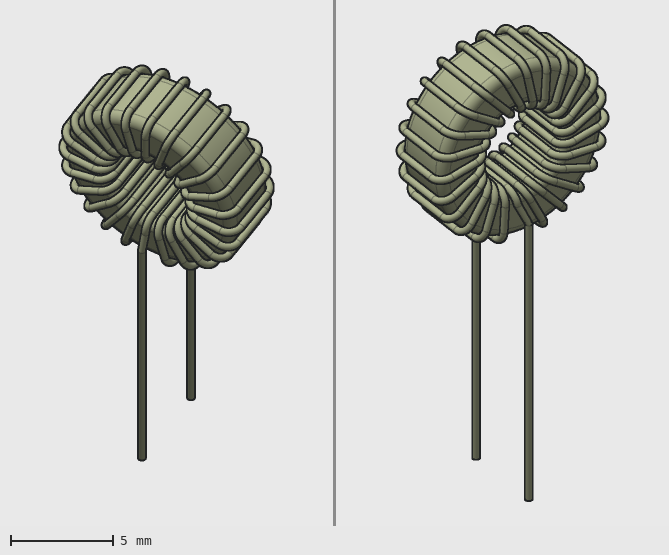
import cadquery as cq
import math

core_outer_radius = 9.73 / 2
core_inner_radius = 5.01 / 2
core_width = 3.45
core_edge_radius = 0.5

wire_diameter = 0.4
wire_gap = 0.01
turn_count = 24
turn_angle = 360 / turn_count
first_turn_angle = -90
centreline_offset = wire_gap + wire_diameter / 2
wire_outer_radius = core_outer_radius + centreline_offset
wire_inner_radius = core_inner_radius - centreline_offset
wire_side = core_width / 2 + centreline_offset
bend_radius = core_edge_radius + centreline_offset

overall_height = 25.38
lead_spacing = 4.5
lead_top = -4.03
lead_bottom = wire_outer_radius + wire_diameter / 2 - overall_height


def ring_point(radius, angle, y):
    """Point at a radius and an angle (degrees from +X toward +Z) around the Y axis."""
    return cq.Vector(
        radius * math.cos(math.radians(angle)), y, radius * math.sin(math.radians(angle))
    )


def bend(corner, direction_in, direction_out):
    """Quarter-circle bend that rounds a square corner of the wire centreline."""
    start = corner - direction_in * bend_radius
    end = corner + direction_out * bend_radius
    centre = start + direction_out * bend_radius
    middle = centre + (direction_in - direction_out) * (bend_radius / math.sqrt(2))
    return start, middle, end


def winding_bends():
    """Bends in winding order, from the front lead to the back lead.

    The wire runs radially across the front (-Y) face and steps to the next turn across the back.
    """
    backward = cq.Vector(0, 1, 0)
    bends = []
    for turn in range(turn_count):
        angle = first_turn_angle - turn * turn_angle
        next_angle = angle - turn_angle
        inner_front = ring_point(wire_inner_radius, angle, -wire_side)
        inner_back = ring_point(wire_inner_radius, angle, wire_side)
        outer_back = ring_point(wire_outer_radius, next_angle, wire_side)
        outer_front = ring_point(wire_outer_radius, next_angle, -wire_side)
        inward = ring_point(-1, angle, 0)
        next_inward = ring_point(-1, next_angle, 0)
        across_back = (outer_back - inner_back).normalized()
        bends.append(bend(inner_front, inward, backward))
        bends.append(bend(inner_back, backward, across_back))
        if turn < turn_count - 1:
            bends.append(bend(outer_back, across_back, -backward))
            bends.append(bend(outer_front, -backward, next_inward))
    return bends


def wire_section(centre, direction):
    return cq.Wire.makeCircle(wire_diameter / 2, centre, direction)


def make_coil(bends):
    edges = []
    for index, (start, middle, end) in enumerate(bends):
        if index > 0:
            edges.append(cq.Edge.makeLine(bends[index - 1][2], start))
        edges.append(cq.Edge.makeThreePointArc(start, middle, end))
    path = cq.Wire.assembleEdges(edges)
    section = wire_section(path.startPoint(), path.tangentAt(0))
    return cq.Solid.sweep(section, [], path)


def make_lead(coil_end, coil_direction, y):
    """Slanted piece from the end of the coil, then the straight lead."""
    down = cq.Vector(0, 0, -1)
    top = cq.Vector(0, y, lead_top)
    slant = cq.Solid.makeLoft([wire_section(coil_end, coil_direction), wire_section(top, down)], True)
    straight = cq.Solid.makeCylinder(wire_diameter / 2, lead_top - lead_bottom, top, down)
    return slant.fuse(straight)


def make_winding():
    bends = winding_bends()
    first_point = bends[0][0]
    last_point = bends[-1][2]
    last_corner = ring_point(wire_inner_radius, first_turn_angle + turn_angle, wire_side)
    front_lead = make_lead(first_point, cq.Vector(0, 0, -1), -lead_spacing / 2)
    back_lead = make_lead(last_point, (last_point - last_corner).normalized(), lead_spacing / 2)
    return cq.Workplane(make_coil(bends).fuse(front_lead, back_lead))


def make_core():
    return (
        cq.Workplane("XZ", origin=(0, core_width / 2, 0))
        .circle(core_outer_radius)
        .circle(core_inner_radius)
        .extrude(core_width)
        .edges()
        .fillet(core_edge_radius)
    )


core = make_core()
winding = make_winding()

result = cq.Compound.makeCompound([*core.vals(), *winding.vals()])